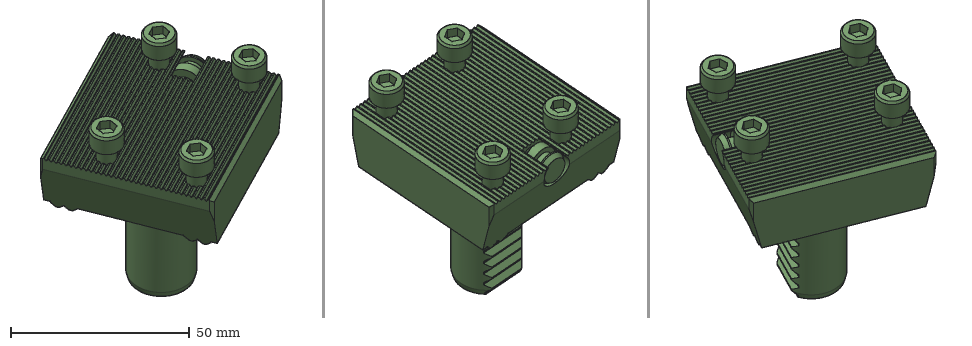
import cadquery as cq
import math

block_x = 52.0
block_y = 56.0
total_height = 70.75
fuse_overlap = 0.7

block_top = 59.6
block_bottom = 40.4
outer_foot_bottom = 40.6
corner_chamfer = 1.0
top_chamfer = 1.2
taper_start = 55.4
taper_angle = 13.0

serration_count = 33
serration_span = 48.0
serration_pitch = serration_span / (serration_count - 1)
serration_width = 1.05
serration_depth = 0.7

tooth_pair_width = 8.0
tooth_pitch = tooth_pair_width / 2
tooth_pair_center = 20.0
tooth_base = 40.2
tooth_tip = 38.7
tooth_tip_width = tooth_pitch - 2 * (tooth_base - tooth_tip)

shank_diameter = 20.0
shank_chamfer_radial = 0.5
shank_chamfer_height = 2.0
neck_diameter = 19.1
neck_end = 38.2
neck_fillet = 1.0
shoulder_angle = 30.0

rack_flat_y = 8.15
rack_flat_top = 33.0
rack_depth = 1.6
rack_groove_count = 8
rack_length = 28.0
rack_pitch = rack_length / (rack_groove_count - 1)
rack_first_groove = 0.4
rack_groove_floor = 0.65
rack_groove_mouth = 3.55

screw_columns = (-8.5, 18.5)
screw_y = 21.0
head_diameter = 10.0
head_height = 6.0
head_chamfer_radial = 0.6
head_chamfer_height = 0.8
screw_shank_diameter = 6.0
underhead_diameter = 6.8
underhead_height = 0.35
socket_across_flats = 5.0
socket_depth = 3.0

bore_diameter = 10.1
bore_floor_y = 17.3
adjuster_diameter = 10.0
adjuster_top = 60.6
adjuster_axis_z = adjuster_top - adjuster_diameter / 2
stud_diameter = 4.5
stud_root_diameter = 5.0
stud_root_end_y = 17.8
collar_start_y = 19.4
collar_end_y = 22.35
groove_diameter = 6.8
flange_start_y = 25.05
flange_cone_start_y = 25.55
adjuster_end_y = 27.1
adjuster_end_diameter = 8.15


def extrude_along_y(points):
    """Prism with an XZ outline, spanning the whole block in Y."""
    return cq.Workplane("XZ").polyline(points).close().extrude(block_y / 2, both=True)


def tooth_pair(center_x):
    """Points of two trapezoidal teeth, listed in rising X."""
    points = []
    for side in (-1, 1):
        tip_x = center_x + side * tooth_pitch / 2
        points.append((tip_x - tooth_pitch / 2, tooth_base))
        points.append((tip_x - tooth_tip_width / 2, tooth_tip))
        points.append((tip_x + tooth_tip_width / 2, tooth_tip))
    points.append((center_x + tooth_pitch, tooth_base))
    return points


def make_block():
    half_x = block_x / 2
    foot_x = tooth_pair_center + tooth_pitch
    inner_x = tooth_pair_center - tooth_pitch - (block_bottom - tooth_base)
    block = extrude_along_y(
        [(-half_x, outer_foot_bottom), (-foot_x, outer_foot_bottom)]
        + tooth_pair(-tooth_pair_center)
        + [(-inner_x, block_bottom), (inner_x, block_bottom)]
        + tooth_pair(tooth_pair_center)
        + [(foot_x, outer_foot_bottom), (half_x, outer_foot_bottom)]
        + [(half_x, block_top - top_chamfer), (half_x - top_chamfer, block_top)]
        + [(top_chamfer - half_x, block_top), (-half_x, block_top - top_chamfer)]
    )

    plan = cq.Workplane("XY").box(block_x, block_y, total_height, centered=(True, True, False))
    block = block.intersect(plan.edges("|Z").chamfer(corner_chamfer))

    half_y = block_y / 2
    taper_y = half_y - (taper_start - tooth_tip) * math.tan(math.radians(taper_angle))
    side_outline = [
        (-half_y, block_top),
        (half_y, block_top),
        (half_y, taper_start),
        (taper_y, tooth_tip),
        (-taper_y, tooth_tip),
        (-half_y, taper_start),
    ]
    side_envelope = cq.Workplane("YZ").polyline(side_outline).close().extrude(block_x / 2, both=True)
    return block.intersect(side_envelope)


def cut_serrations(block):
    half_x = block_x / 2
    floor_z = block_top - serration_depth
    above_z = block_top + serration_depth
    points = [(-half_x, above_z), (-half_x, block_top)]
    for index in range(serration_count):
        x = index * serration_pitch - serration_span / 2
        points.append((x - serration_width / 2, block_top))
        points.append((x, floor_z))
        points.append((x + serration_width / 2, block_top))
    points.append((half_x, block_top))
    points.append((half_x, above_z))
    return block.cut(extrude_along_y(points))


def make_shank():
    radius = shank_diameter / 2
    neck_radius = neck_diameter / 2
    angle = math.radians(shoulder_angle)

    def fillet_point(turn):
        return (
            neck_radius + neck_fillet * (1 - math.cos(turn)),
            neck_end - neck_fillet * math.sin(turn),
        )

    fillet_end = fillet_point(angle)
    shoulder_z = fillet_end[1] - (radius - fillet_end[0]) / math.tan(angle)
    overlap_z = block_bottom + fuse_overlap
    return (
        cq.Workplane("XZ")
        .moveTo(0, 0)
        .lineTo(radius - shank_chamfer_radial, 0)
        .lineTo(radius, shank_chamfer_height)
        .lineTo(radius, shoulder_z)
        .lineTo(*fillet_end)
        .threePointArc(fillet_point(angle / 2), (neck_radius, neck_end))
        .lineTo(neck_radius, overlap_z)
        .lineTo(0, overlap_z)
        .close()
        .revolve(360, (0, 0, 0), (0, 1, 0))
    )


def cut_rack(shank):
    rack_floor_y = rack_flat_y - rack_depth
    beyond_y = shank_diameter
    below_z = -rack_pitch
    points = [(beyond_y, below_z), (rack_flat_y, below_z)]
    for index in range(rack_groove_count):
        z = rack_first_groove + index * rack_pitch
        points.append((rack_flat_y, z - rack_groove_mouth / 2))
        points.append((rack_floor_y, z - rack_groove_floor / 2))
        points.append((rack_floor_y, z + rack_groove_floor / 2))
        points.append((rack_flat_y, z + rack_groove_mouth / 2))
    points.append((rack_flat_y, rack_flat_top))
    points.append((beyond_y, rack_flat_top))
    cutter = cq.Workplane("YZ").polyline(points).close().extrude(shank_diameter, both=True)
    return shank.cut(cutter)


def make_screw(x, y):
    head_radius = head_diameter / 2
    shank_radius = screw_shank_diameter / 2
    head_bottom = total_height - head_height
    foot_z = block_top - serration_depth - fuse_overlap
    profile = [
        (0, foot_z),
        (shank_radius, foot_z),
        (shank_radius, head_bottom - underhead_height),
        (underhead_diameter / 2, head_bottom),
        (head_radius, head_bottom),
        (head_radius, total_height - head_chamfer_height),
        (head_radius - head_chamfer_radial, total_height),
        (0, total_height),
    ]
    screw = cq.Workplane("XZ").polyline(profile).close().revolve(360, (0, 0, 0), (0, 1, 0))
    socket_across_corners = socket_across_flats / math.cos(math.radians(30))
    socket = (
        cq.Workplane("XY", origin=(0, 0, total_height - socket_depth))
        .transformed(rotate=(0, 0, 90))
        .polygon(6, socket_across_corners)
        .extrude(socket_depth)
    )
    return screw.cut(socket).translate((x, y, 0))


def cut_bore(block):
    bore = (
        cq.Workplane("XZ", origin=(0, bore_floor_y, adjuster_axis_z))
        .circle(bore_diameter / 2)
        .extrude(-block_y)
    )
    return block.cut(bore)


def make_adjuster():
    buried_y = bore_floor_y - fuse_overlap
    outer_radius = adjuster_diameter / 2
    stud_radius = stud_diameter / 2
    root_radius = stud_root_diameter / 2
    groove_radius = groove_diameter / 2
    profile = [
        (0, buried_y),
        (root_radius, buried_y),
        (root_radius, bore_floor_y),
        (stud_radius, stud_root_end_y),
        (stud_radius, collar_start_y),
        (outer_radius, collar_start_y),
        (outer_radius, collar_end_y),
        (groove_radius, collar_end_y),
        (groove_radius, flange_start_y),
        (outer_radius, flange_start_y),
        (outer_radius, flange_cone_start_y),
        (adjuster_end_diameter / 2, adjuster_end_y),
        (0, adjuster_end_y),
    ]
    adjuster = cq.Workplane("XY").polyline(profile).close().revolve(360, (0, 0, 0), (0, 1, 0))
    return adjuster.translate((0, 0, adjuster_axis_z))


block = cut_bore(cut_serrations(make_block()))
result = block.union(cut_rack(make_shank())).union(make_adjuster())
for column_x in screw_columns:
    for row_y in (-screw_y, screw_y):
        result = result.union(make_screw(column_x, row_y))